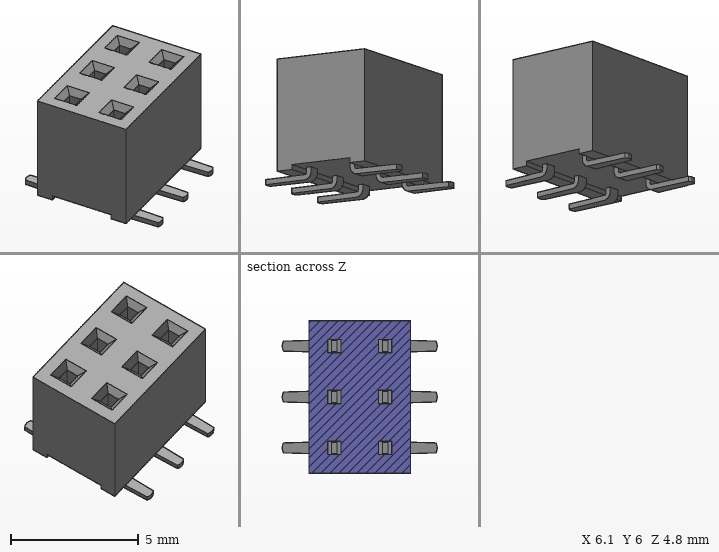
import cadquery as cq

pitch = 2.0
rows = 3
half_pitch = pitch / 2

overall_width = 6.1
overall_height = 4.8
body_width = 2 * pitch
body_length = rows * pitch
standoff = 0.3
channel_width = 2.65
channel_depth = 0.195

mouth_size = 1.0
hole_size = 0.51
funnel_depth = 0.25
socket_depth = 3.0

contact_height = 1.0
contact_base = 0.2
throat_length = 0.43

sheet = 0.21
inner_radius = 0.1
lead_width = 0.5
tip_width = 0.4
tip_bulge = 0.055
shank_embed = 0.2

outer_radius = inner_radius + sheet
shank_inside = half_pitch - sheet / 2
shank_outside = half_pitch + sheet / 2
bend_end = shank_outside + inner_radius
tip = overall_width / 2
tip_shoulder = tip - tip_bulge
channel_floor = standoff + channel_depth
socket_floor = overall_height - socket_depth
shank_top = channel_floor + shank_embed
row_positions = [(row - (rows - 1) / 2) * pitch for row in range(rows)]


def make_housing():
    """Rectangular block with a shallow channel along Y in its underside."""
    block = (
        cq.Workplane("XY", origin=(0, 0, standoff))
        .rect(body_width, body_length)
        .extrude(overall_height - standoff)
    )
    channel = (
        cq.Workplane("XY", origin=(0, 0, standoff))
        .rect(channel_width, body_length)
        .extrude(channel_depth)
    )
    return block.cut(channel)


def make_socket():
    """Square blind hole with a tapered mouth, centred on the Z axis."""
    hole = (
        cq.Workplane("XY", origin=(0, 0, socket_floor))
        .rect(hole_size, hole_size)
        .extrude(socket_depth)
    )
    funnel = (
        cq.Workplane("XY", origin=(0, 0, overall_height))
        .rect(mouth_size, mouth_size)
        .workplane(offset=-funnel_depth)
        .rect(hole_size, hole_size)
        .loft(ruled=True)
    )
    return hole.union(funnel)


def make_contact():
    """Strip across the socket floor whose two ends rise as inward-sloping wedges."""
    base_top = socket_floor + contact_base
    contact_top = socket_floor + contact_height
    return (
        cq.Workplane("YZ", origin=(-sheet / 2, 0, 0))
        .moveTo(-hole_size / 2, socket_floor)
        .lineTo(hole_size / 2, socket_floor)
        .lineTo(hole_size / 2, contact_top)
        .lineTo(throat_length / 2, base_top)
        .lineTo(-throat_length / 2, base_top)
        .lineTo(-hole_size / 2, contact_top)
        .close()
        .extrude(sheet)
    )


def make_lead():
    """Lead bent towards +X, tapering from the bend to a rounded tip."""
    bent_strip = (
        cq.Workplane("XZ", origin=(0, lead_width / 2, 0))
        .moveTo(shank_inside, shank_top)
        .lineTo(shank_inside, outer_radius)
        .radiusArc((bend_end, 0), -outer_radius)
        .lineTo(tip, 0)
        .lineTo(tip, sheet)
        .lineTo(bend_end, sheet)
        .radiusArc((shank_outside, outer_radius), inner_radius)
        .lineTo(shank_outside, shank_top)
        .close()
        .extrude(lead_width)
    )
    plan_outline = (
        cq.Workplane("XY")
        .moveTo(shank_inside, -lead_width / 2)
        .lineTo(bend_end, -lead_width / 2)
        .lineTo(tip_shoulder, -tip_width / 2)
        .threePointArc((tip, 0), (tip_shoulder, tip_width / 2))
        .lineTo(bend_end, lead_width / 2)
        .lineTo(shank_inside, lead_width / 2)
        .close()
        .extrude(shank_top)
    )
    return bent_strip.intersect(plan_outline)


socket = make_socket()
contact = make_contact()
right_lead = make_lead()
left_lead = right_lead.mirror("YZ")

result = make_housing()
for y in row_positions:
    for x in (-half_pitch, half_pitch):
        result = result.cut(socket.translate((x, y, 0)))
        result = result.union(contact.translate((x, y, 0)))
    for lead in (left_lead, right_lead):
        result = result.union(lead.translate((0, y, 0)))